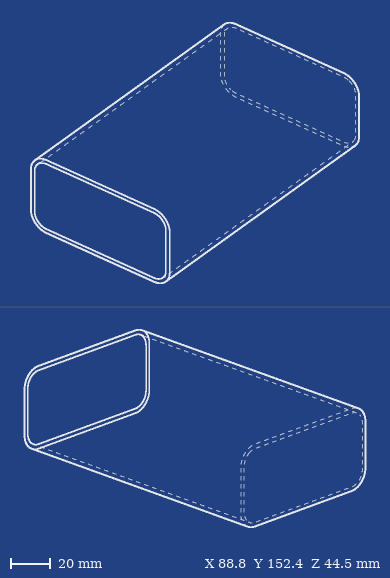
import cadquery as cq

width = 88.8
length = 152.4
height = 44.5
wall = 2.5
outer_radius = 10.0
inner_radius = outer_radius - wall


def rounded_bar(bar_width, bar_height, corner_radius):
    """Full-length bar along Y, centred on the origin, with rounded long edges."""
    return cq.Workplane("XY").box(bar_width, length, bar_height).edges("|Y").fillet(corner_radius)


outside = rounded_bar(width, height, outer_radius)
bore = rounded_bar(width - 2 * wall, height - 2 * wall, inner_radius)
result = outside.cut(bore)